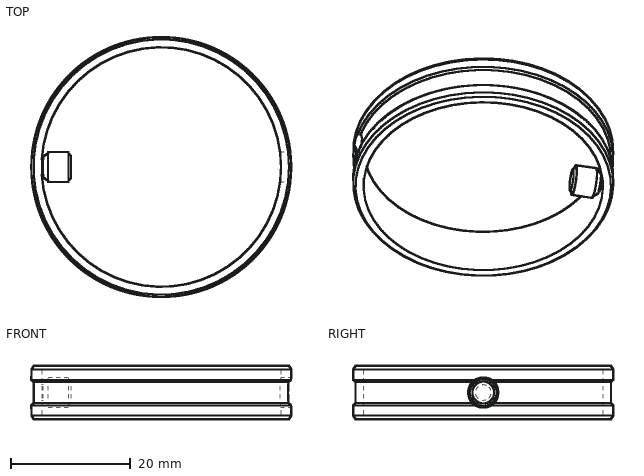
import cadquery as cq

ring_radius = 21.75
bore_radius = 20.0
ring_height = 9.0
rim_chamfer_radial = 0.4
rim_chamfer_height = 0.65

groove_depth = 0.37
groove_mouth_width = 4.25
groove_floor_width = groove_mouth_width - 2 * groove_depth

hole_diameter = 5.0

screw_radius = 2.52
point_x = -19.75
stub_length = 0.2
stub_radius = 1.3
point_length = 0.83
point_tip_radius = 1.75
point_base_radius = 2.35
thread_length = 3.45
head_end_length = 0.415
head_end_base_radius = 2.25
head_end_face_radius = 1.83


def make_ring():
    half_height = ring_height / 2
    rim_radius = ring_radius - rim_chamfer_radial
    land_edge_z = half_height - rim_chamfer_height
    groove_radius = ring_radius - groove_depth
    mouth_z = groove_mouth_width / 2
    floor_z = groove_floor_width / 2
    body = (
        cq.Workplane("XZ")
        .moveTo(bore_radius, -half_height)
        .lineTo(rim_radius, -half_height)
        .lineTo(ring_radius, -land_edge_z)
        .lineTo(ring_radius, -mouth_z)
        .lineTo(groove_radius, -floor_z)
        .lineTo(groove_radius, floor_z)
        .lineTo(ring_radius, mouth_z)
        .lineTo(ring_radius, land_edge_z)
        .lineTo(rim_radius, half_height)
        .lineTo(bore_radius, half_height)
        .close()
        .revolve(360, (0, 0, 0), (0, 1, 0))
    )
    hole = cq.Workplane("YZ").circle(hole_diameter / 2).extrude(ring_radius)
    return body.cut(hole)


def make_screw():
    stub_end_x = point_x - stub_length
    thread_start_x = point_x + point_length
    thread_end_x = thread_start_x + thread_length
    head_end_x = thread_end_x + head_end_length
    return (
        cq.Workplane("XY")
        .moveTo(stub_end_x, 0)
        .lineTo(stub_end_x, stub_radius)
        .lineTo(point_x, stub_radius)
        .lineTo(point_x, point_tip_radius)
        .lineTo(thread_start_x, point_base_radius)
        .lineTo(thread_start_x, screw_radius)
        .lineTo(thread_end_x, screw_radius)
        .lineTo(thread_end_x, head_end_base_radius)
        .lineTo(head_end_x, head_end_face_radius)
        .lineTo(head_end_x, 0)
        .close()
        .revolve(360, (0, 0, 0), (1, 0, 0))
    )


ring = make_ring()
screw = make_screw()

result = cq.Compound.makeCompound([ring.val(), screw.val()])